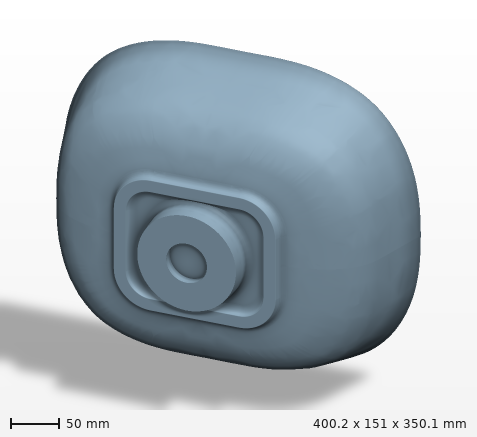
import cadquery as cq
import math


length = 400.5
height = 350.0
depth = 151.0

bowl_depth = 119.7
wall = 12.0
side_draft = math.radians(17.0)
top_draft = math.radians(19.0)
side_radius = 336.3
top_radius = 1081.0
corner_radius = 132.0
straight_depth = 66.0
floor_half_x = 64.0
floor_half_z = 72.0
rim_fillet = 2.0
wall_steps = 4
blend_steps = 6

foot_depth = 129.5
foot_half_x = 90.5
foot_half_z = 76.0
foot_width = 13.5
foot_corner_radius = 41.0
foot_taper = 18.0
foot_floor_depth = 122.5
foot_recess_taper = 35.0
foot_outer_fillet = 7.0
foot_inner_fillet = 9.2
foot_edge_fillet = 1.0

boss_end_radius = 55.2
boss_base_radius = 57.0
boss_fillet = 7.0
drain_radius = 23.0
drain_fillet = 2.0
recess_radius = boss_end_radius - wall
recess_depth = depth - wall
plug_thickness = wall


def at_depth(y_depth):
    """Workplane facing -Y at a depth below the rim, with X and Z as its axes."""
    return cq.Workplane("XZ").workplane(offset=y_depth)


def bowl_outline(plane, half_x, half_z, inset):
    """Closed oval in two halves, through points of tangent arcs whose radii shrink by the inset."""
    r_side = side_radius - inset
    r_top = top_radius - inset
    r_corner = corner_radius - inset

    top_x, top_z = 0.0, half_z - r_top
    side_x, side_z = half_x - r_side, 0.0
    reach_top = r_top - r_corner
    reach_side = r_side - r_corner
    span = math.hypot(side_x - top_x, side_z - top_z)
    ux, uz = (side_x - top_x) / span, (side_z - top_z) / span
    along = (reach_top**2 - reach_side**2 + span**2) / (2 * span)
    across = math.sqrt(reach_top**2 - along**2)
    corner_x = top_x + ux * along + uz * across
    corner_z = top_z + uz * along - ux * across

    angle_top = math.atan2(corner_z - top_z, corner_x - top_x)
    angle_side = math.atan2(corner_z - side_z, corner_x - side_x)
    angle_mid = (angle_top + angle_side) / 2

    def on_corner(angle):
        return corner_x + r_corner * math.cos(angle), corner_z + r_corner * math.sin(angle)

    tx, tz = on_corner(angle_top)
    mx, mz = on_corner(angle_mid)
    sx, sz = on_corner(angle_side)
    quarter = [(half_x, 0), (sx, sz), (mx, mz), (tx, tz), (0, half_z)]
    upper = quarter + [(-x, z) for x, z in reversed(quarter[:-1])]
    lower = [(-x, -z) for x, z in upper]
    return (
        plane.spline(upper, tangents=[(0, 1), (0, -1)], scale=False)
        .spline(lower, tangents=[(0, -1), (0, 1)], scale=False)
        .wire()
        .val()
    )


def edge_allowance(draft):
    """Half size lost when the sharp rim edge of a drafted wall is rounded."""
    return rim_fillet * (math.tan(draft) + 1 / math.cos(draft) - 1)


def blend(start, corner, end, t):
    """Quadratic curve from start to end that heads for the corner at both ends."""
    return start * (1 - t) ** 2 + 2 * corner * t * (1 - t) + end * t**2


def bowl_body(floor_depth, inset):
    """Drafted oval body, inset from the outer bowl, that rounds into a flat floor."""
    rim_x = length / 2 + edge_allowance(side_draft) - inset / math.cos(side_draft)
    rim_z = height / 2 + edge_allowance(top_draft) - inset / math.cos(top_draft)

    def straight(y_depth):
        """Half sizes of the drafted walls at a depth."""
        return rim_x - y_depth * math.tan(side_draft), rim_z - y_depth * math.tan(top_draft)

    sections = []
    for i in range(wall_steps):
        y_depth = straight_depth * i / wall_steps
        sections.append((y_depth, *straight(y_depth)))
    start_x, start_z = straight(straight_depth)
    corner_x, corner_z = straight(floor_depth)
    for i in range(blend_steps + 1):
        t = i / blend_steps
        sections.append((
            blend(straight_depth, floor_depth, floor_depth, t),
            blend(start_x, corner_x, floor_half_x, t),
            blend(start_z, corner_z, floor_half_z, t),
        ))

    outlines = []
    for y_depth, half_x, half_z in sections:
        radius_inset = inset + (rim_x - half_x + rim_z - half_z) / 2
        outlines.append(bowl_outline(at_depth(y_depth), half_x, half_z, radius_inset))
    return cq.Workplane(cq.Solid.makeLoft(outlines))


def foot_block(half_x, half_z, corner, base_depth, taper):
    """Tapered rounded rectangular block from the foot face back to a base depth."""
    outline = cq.Sketch().rect(2 * half_x, 2 * half_z).vertices().fillet(corner)
    return at_depth(foot_depth).placeSketch(outline).extrude(base_depth - foot_depth, taper=taper)


def drain_boss():
    """Tapered round boss with a concave flare onto the floor of the foot recess."""
    root_depth = foot_floor_depth - wall / 2
    flare_radius = boss_base_radius + boss_fillet
    arc_offset = boss_fillet * (1 - math.sqrt(0.5))
    profile = (
        cq.Workplane("XY")
        .moveTo(0, -root_depth)
        .lineTo(flare_radius, -root_depth)
        .lineTo(flare_radius, -foot_floor_depth)
        .threePointArc(
            (boss_base_radius + arc_offset, -foot_floor_depth - arc_offset),
            (boss_base_radius, -foot_floor_depth - boss_fillet),
        )
        .lineTo(boss_end_radius, -depth)
        .lineTo(0, -depth)
        .close()
    )
    return profile.revolve(360, (0, 0, 0), (0, 1, 0))


def edges_between(near_depth, far_depth, reach_x, reach_z):
    """Selector for the edges around the Y axis that lie wholly between two depths."""
    return cq.selectors.BoxSelector(
        (-reach_x, -far_depth, -reach_z),
        (reach_x, -near_depth, reach_z),
        boundingbox=True,
    )


def add_foot(basin):
    """Add a flared foot and sink a rounded rectangular recess into it."""
    root_depth = bowl_depth - wall / 2
    reach_x = foot_half_x + wall
    reach_z = foot_half_z + wall
    foot = foot_block(foot_half_x, foot_half_z, foot_corner_radius, root_depth, -foot_taper)
    basin = basin.union(foot)
    foot_base = edges_between(root_depth, foot_depth - foot_edge_fillet, reach_x, reach_z)
    basin = basin.edges(foot_base).fillet(foot_outer_fillet)

    recess = foot_block(
        foot_half_x - foot_width,
        foot_half_z - foot_width,
        foot_corner_radius - foot_width,
        foot_floor_depth,
        foot_recess_taper,
    )
    recess = recess.faces(">Y").edges().fillet(foot_inner_fillet)
    basin = basin.cut(recess)
    foot_rims = edges_between(
        foot_depth - foot_edge_fillet, foot_depth + foot_edge_fillet, reach_x, reach_z
    )
    return basin.edges(foot_rims).fillet(foot_edge_fillet)


def cut_drain(basin):
    """Cut the round recess in the boss and the drain hole with its rounded inner edge."""
    recess = at_depth(0).circle(recess_radius).extrude(recess_depth)
    drain = at_depth(0).circle(drain_radius).extrude(depth)
    basin = basin.cut(recess).cut(drain)
    drain_edge = edges_between(
        recess_depth - drain_fillet,
        recess_depth + drain_fillet,
        drain_radius + drain_fillet,
        drain_radius + drain_fillet,
    )
    return basin.edges(drain_edge).fillet(drain_fillet).solids()


def make_basin():
    """Hollow bowl with its foot ring and drain boss."""
    basin = bowl_body(bowl_depth, 0)
    basin = basin.faces(">Y").edges().fillet(rim_fillet)
    basin = add_foot(basin).union(drain_boss())
    basin = basin.cut(bowl_body(bowl_depth - wall, wall))
    return cut_drain(basin)


def make_plug():
    """Disc that closes the drain hole from inside the recess."""
    return at_depth(recess_depth - plug_thickness).circle(recess_radius).extrude(plug_thickness)


basin = make_basin()
plug = make_plug()
result = cq.Compound.makeCompound([basin.val(), plug.val()])